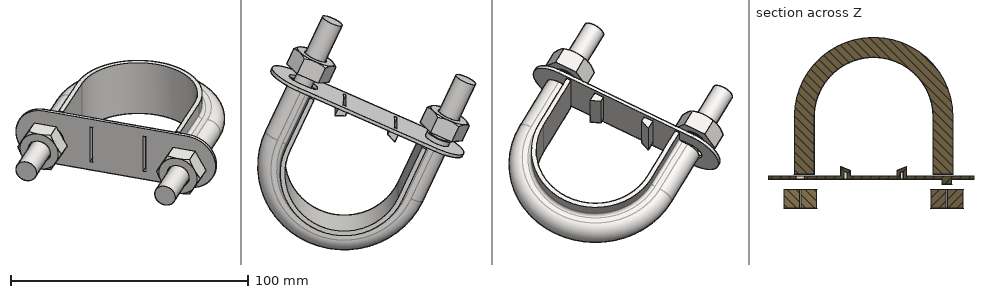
import cadquery as cq
import math


LEG_X = 30.9
CLAMP_WIDTH = 25.0
SLEEVE_END_Y = -24.3
ROD_END_Y = -55.8
LEG_SIDES = (-1, 1)

ROD_DIAMETER = 8.2
THREAD_DIAMETER = 9.2

STRAP_INNER_RADIUS = 25.0
STRAP_THICKNESS = 2.0
STRAP_OUTER_RADIUS = STRAP_INNER_RADIUS + STRAP_THICKNESS
BULGE_RADIUS = 5.6
BULGE_FILLET = 1.5

PLATE_LENGTH = 89.0
PLATE_CENTER_X = -1.0
PLATE_THICKNESS = 1.5
PLATE_GAP = 0.65
PLATE_BACK_Y = SLEEVE_END_Y - PLATE_GAP
PLATE_FRONT_Y = PLATE_BACK_Y - PLATE_THICKNESS
LEG_SLOT_LENGTH = 13.1
LEG_SLOT_WIDTH = 10.0
COLLAR_BORE_DIAMETER = 8.4
COLLAR_DIAMETER = 10.8
COLLAR_LENGTH = 2.1

TAB_INNER_X = 9.8
TAB_OUTER_X = 13.9
TAB_INNER_HEIGHT = 2.2
TAB_OUTER_HEIGHT = 4.0
TAB_WIDTH = 20.0
TAB_WALL = 1.5

NUT_FLATS = 17.0
NUT_HEIGHT = 8.0
NUT_BORE_DIAMETER = 10.0
NUT_BACK_Y = -30.7
NUT_FRONT_Y = NUT_BACK_Y - NUT_HEIGHT
NUT_CHAMFER_ANGLE = 30.0


def facing_front(y):
    """Sketch plane at the given Y whose normal is -Y, with X and Z as its axes."""
    return cq.Workplane("XZ", origin=(0, y, 0))


def cylinder(x, back_y, front_y, diameter):
    """Cylinder along Y, centred on X = x and Z = 0."""
    return facing_front(back_y).center(x, 0).circle(diameter / 2).extrude(back_y - front_y)


def sweep_around_bend(draw_section):
    """Turn a section in the X-Z plane half way round Z and run its two ends along the legs."""
    bend = draw_section().revolve(180, (0, 0), (0, 1))
    leg = draw_section().extrude(-SLEEVE_END_Y)
    return bend.union(leg).union(leg.mirror("YZ"))


def rod_section():
    return facing_front(0).moveTo(LEG_X, 0).circle(ROD_DIAMETER / 2)


def rod_core():
    """Bent rod with straight legs, as far as the sleeve ends."""
    return sweep_around_bend(rod_section)


def make_rod():
    rod = rod_core()
    for side in LEG_SIDES:
        x = side * LEG_X
        rod = rod.union(cylinder(x, SLEEVE_END_Y, NUT_BACK_Y, ROD_DIAMETER))
        rod = rod.union(cylinder(x, NUT_BACK_Y, ROD_END_Y, THREAD_DIAMETER))
    return rod


def sleeve_section():
    """Flat strap with a round-topped bulge that covers the rod."""
    half_width = CLAMP_WIDTH / 2
    fillet_x = STRAP_OUTER_RADIUS + BULGE_FILLET
    fillet_z = BULGE_RADIUS + BULGE_FILLET
    fillet_middle = BULGE_FILLET * (1 - math.sqrt(0.5))
    return (
        facing_front(0)
        .moveTo(STRAP_INNER_RADIUS, -half_width)
        .lineTo(STRAP_OUTER_RADIUS, -half_width)
        .lineTo(STRAP_OUTER_RADIUS, -fillet_z)
        .threePointArc(
            (STRAP_OUTER_RADIUS + fillet_middle, -BULGE_RADIUS - fillet_middle),
            (fillet_x, -BULGE_RADIUS),
        )
        .lineTo(LEG_X, -BULGE_RADIUS)
        .threePointArc((LEG_X + BULGE_RADIUS, 0), (LEG_X, BULGE_RADIUS))
        .lineTo(fillet_x, BULGE_RADIUS)
        .threePointArc(
            (STRAP_OUTER_RADIUS + fillet_middle, BULGE_RADIUS + fillet_middle),
            (STRAP_OUTER_RADIUS, fillet_z),
        )
        .lineTo(STRAP_OUTER_RADIUS, half_width)
        .lineTo(STRAP_INNER_RADIUS, half_width)
        .close()
    )


def make_sleeve():
    return sweep_around_bend(sleeve_section).cut(rod_core())


def tab_height(x):
    """Height of the sloped tab top above the back of the plate."""
    slope = (TAB_OUTER_HEIGHT - TAB_INNER_HEIGHT) / (TAB_OUTER_X - TAB_INNER_X)
    return TAB_INNER_HEIGHT + slope * (x - TAB_INNER_X)


def tab_block(inset, base_y):
    """Sloped block on the +X side, inset on every side and on top, starting at base_y."""
    inner_x = TAB_INNER_X + inset
    outer_x = TAB_OUTER_X - inset
    top_y = PLATE_BACK_Y - inset
    outline = [
        (inner_x, base_y),
        (outer_x, base_y),
        (outer_x, top_y + tab_height(outer_x)),
        (inner_x, top_y + tab_height(inner_x)),
    ]
    return cq.Workplane("XY").polyline(outline).close().extrude(TAB_WIDTH / 2 - inset, both=True)


def make_plate():
    plate = (
        facing_front(PLATE_BACK_Y)
        .center(PLATE_CENTER_X, 0)
        .slot2D(PLATE_LENGTH, CLAMP_WIDTH)
        .extrude(PLATE_THICKNESS)
    )
    collar_end_y = PLATE_FRONT_Y - COLLAR_LENGTH
    leg_slot = facing_front(PLATE_BACK_Y).center(-LEG_X, 0).slot2D(LEG_SLOT_LENGTH, LEG_SLOT_WIDTH)
    plate = plate.cut(leg_slot.extrude(PLATE_THICKNESS))
    plate = plate.union(cylinder(LEG_X, PLATE_FRONT_Y, collar_end_y, COLLAR_DIAMETER))
    plate = plate.cut(cylinder(LEG_X, PLATE_BACK_Y, collar_end_y, COLLAR_BORE_DIAMETER))
    tab = tab_block(0, PLATE_BACK_Y)
    slot = tab_block(TAB_WALL, PLATE_FRONT_Y)
    plate = plate.union(tab).union(tab.mirror("YZ"))
    return plate.cut(slot).cut(slot.mirror("YZ"))


def make_nut(x):
    """Hexagon nut with its corners along X, chamfered on the front face."""
    corner_diameter = NUT_FLATS / math.cos(math.pi / 6)
    hexagon = facing_front(NUT_BACK_Y).center(x, 0).polygon(6, corner_diameter).extrude(NUT_HEIGHT)
    face_radius = NUT_FLATS / 2
    corner_radius = corner_diameter / 2
    chamfer_depth = (corner_radius - face_radius) * math.tan(math.radians(NUT_CHAMFER_ANGLE))
    rim_radius = 2 * corner_radius - face_radius
    rim_y = NUT_FRONT_Y + 2 * chamfer_depth
    half_profile = [
        (0, NUT_BACK_Y),
        (rim_radius, NUT_BACK_Y),
        (rim_radius, rim_y),
        (face_radius, NUT_FRONT_Y),
        (0, NUT_FRONT_Y),
    ]
    profile_plane = cq.Workplane("XY", origin=(x, 0, 0))
    envelope = profile_plane.polyline(half_profile).close().revolve(360, (0, 0), (0, 1))
    return hexagon.intersect(envelope).cut(cylinder(x, NUT_BACK_Y, NUT_FRONT_Y, NUT_BORE_DIAMETER))


rod = make_rod()
sleeve = make_sleeve()
plate = make_plate()
nuts = [make_nut(side * LEG_X) for side in LEG_SIDES]

bodies = [rod, sleeve, plate, *nuts]
result = cq.Compound.makeCompound([body.solids().val() for body in bodies])